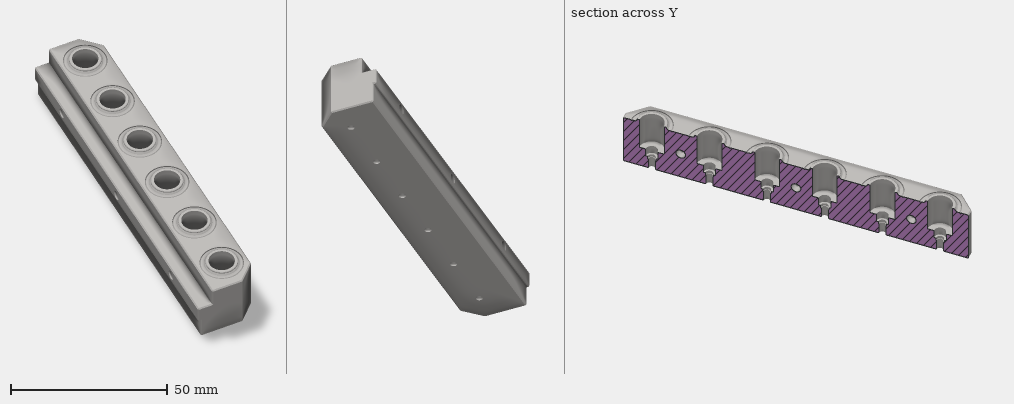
import cadquery as cq

length = 120.0
depth = 21.75
body_height = 19.0
overall_height = 20.0
edge_chamfer = 0.4
corner_cut = 6.0

step_depth = 5.0
shelf_height = 12.9
lip_projection = 1.0
lip_bottom = 7.1

bushing_count = 6
bushing_pitch = length / bushing_count
bushing_y = 13.25

groove_outer_diameter = 14.25
groove_inner_diameter = 13.45
groove_depth = (groove_outer_diameter - groove_inner_diameter) / 2

boss_diameter = 10.45
boss_taper = 0.5
boss_rim_chamfer = 0.2

bore_steps = [
    (8.45, 8.0),
    (4.1, 5.0),
    (2.7, 4.0),
    (2.3, 0.0),
]

mount_diameter = 3.2
mount_end_distance = 20.0
outer_mount_height = 10.0
middle_mount_height = 9.5
mount_holes = [
    (mount_end_distance, outer_mount_height),
    (length / 2, middle_mount_height),
    (length - mount_end_distance, outer_mount_height),
]


def make_block():
    """Stepped bar with cut rear corners and bevelled outer edges."""
    profile = [
        (lip_projection, 0),
        (depth, 0),
        (depth, body_height),
        (step_depth, body_height),
        (step_depth, shelf_height),
        (0, shelf_height),
        (0, lip_bottom),
        (lip_projection, lip_bottom),
    ]
    block = cq.Workplane("YZ").polyline(profile).close().extrude(length)
    block = block.edges("|Z and >Y").chamfer(corner_cut)

    margin = 1.0
    front_region = cq.selectors.BoxSelector(
        (-margin, -margin, -margin),
        (length + margin, step_depth + margin, overall_height),
    )
    front_end_edges = block.faces("<X or >X").edges(front_region)
    top_and_bottom_edges = block.faces("<Z or >Z").edges()
    lip_edges = block.faces("<Y").edges("|X")
    return front_end_edges.add(top_and_bottom_edges).add(lip_edges).chamfer(edge_chamfer)


def revolve_about_z(points):
    """Solid of revolution from (radius, height) points."""
    return cq.Workplane("XZ").polyline(points).close().revolve(360, (0, 0), (0, 1))


def make_groove():
    """V-groove with an upright outer wall and a sloping inner wall."""
    outer_radius = groove_outer_diameter / 2
    return revolve_about_z([
        (groove_inner_diameter / 2, body_height),
        (outer_radius, body_height),
        (outer_radius, body_height - groove_depth),
    ])


def make_boss():
    """Short raised collar with a tapered foot and a bevelled rim."""
    radius = boss_diameter / 2
    return revolve_about_z([
        (0, body_height),
        (radius + boss_taper, body_height),
        (radius, body_height + boss_taper),
        (radius, overall_height - boss_rim_chamfer),
        (radius - boss_rim_chamfer, overall_height),
        (0, overall_height),
    ])


def make_bore():
    """Stepped through hole, widest at the top."""
    points = [(0, overall_height)]
    upper_level = overall_height
    for diameter, floor in bore_steps:
        points.append((diameter / 2, upper_level))
        points.append((diameter / 2, floor))
        upper_level = floor
    points.append((0, upper_level))
    return revolve_about_z(points)


def add_bushings(block):
    groove = make_groove()
    boss = make_boss()
    bore = make_bore()
    for index in range(bushing_count):
        place = ((index + 0.5) * bushing_pitch, bushing_y, 0)
        block = block.cut(groove.translate(place))
        block = block.union(boss.translate(place))
        block = block.cut(bore.translate(place))
    return block


def drill_mount_holes(block):
    for x, z in mount_holes:
        hole = cq.Workplane("XZ", origin=(x, 0, z)).circle(mount_diameter / 2).extrude(-depth)
        block = block.cut(hole)
    return block


result = drill_mount_holes(add_bushings(make_block()))